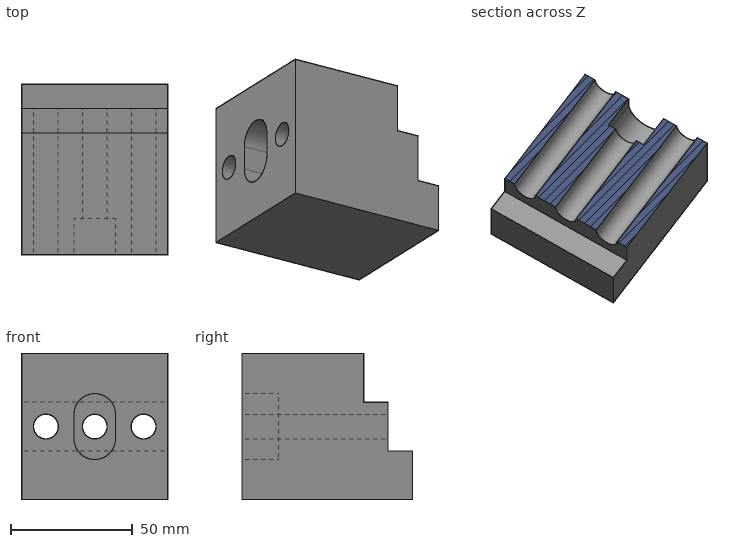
import cadquery as cq

width = 60.0
depth = 70.0
height = 60.0

step_count = 3
step_rise = height / step_count
step_run = 10.0

center_hole_diameter = 10.0
side_hole_diameter = 10.1
side_hole_offset = 20.0

slot_width = 17.0
slot_length = 27.0
slot_depth = 15.0


def stepped_block():
    """Staircase profile in the YZ plane, extruded across the width."""
    profile = cq.Workplane("YZ").moveTo(0, 0).lineTo(depth, 0)
    for step in range(step_count):
        back = depth - step * step_run
        top = (step + 1) * step_rise
        profile = profile.lineTo(back, top)
        if step < step_count - 1:
            profile = profile.lineTo(back - step_run, top)
    return profile.lineTo(0, height).close().extrude(width / 2, both=True)


def front_sketch_plane():
    """Plane on the front face, centered at mid height; extruding negative goes into the block."""
    return cq.Workplane("XZ", origin=(0, 0, height / 2))


def through_hole(x, diameter):
    return front_sketch_plane().center(x, 0).circle(diameter / 2).extrude(-depth)


result = stepped_block()
result = result.cut(front_sketch_plane().slot2D(slot_length, slot_width, 90).extrude(-slot_depth))
result = result.cut(through_hole(0, center_hole_diameter))
for x in (-side_hole_offset, side_hole_offset):
    result = result.cut(through_hole(x, side_hole_diameter))